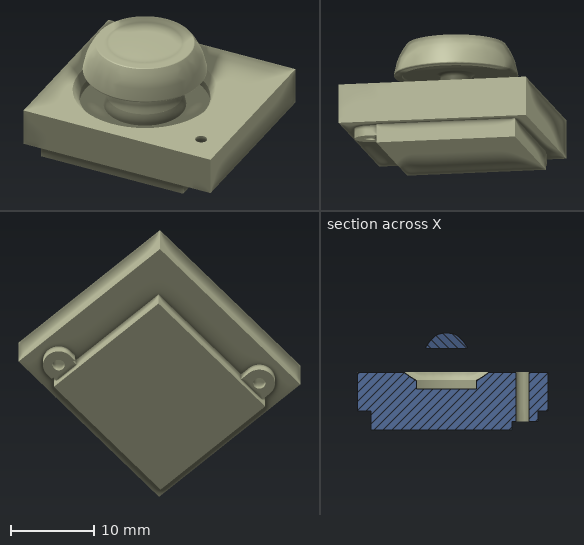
import cadquery as cq
import math

plate_length = 25.1
plate_width = 22.95
plate_thickness = 4.72
overall_height = 14.3

block_left = 1.53
block_front = 1.63
block_length = 19.08
block_width = 17.0
block_height = 2.25
block_right = block_left + block_length
block_back = block_front + block_width
plate_top = block_height + plate_thickness

hole_diameter = 1.45
back_hole_x = 3.95
back_hole_y = 19.85
right_hole_x = 22.01
right_hole_y = 3.7
lug_radius = 1.88
lug_height = 1.25
lug_bottom = block_height - lug_height
right_lug_straight = 0.83
bridge_inset = 0.25

axis_x = 10.97
axis_y = 10.72
pocket_mouth_diameter = 17.4
pocket_floor_diameter = 15.8
pocket_depth = 1.98
pocket_bevel_depth = 1.0
pocket_floor = plate_top - pocket_depth

ball_radius = 5.02
ball_center = 4.35
ball_split = 6.35

neck_radius = 3.7 / 2
cap_bottom = 9.76
cap_recess_depth = 0.25
cap_underside = cap_bottom + cap_recess_depth
cap_recess_radius = 6.5
cap_rim_radius = 7.5
cap_face = 13.7
cap_face_radius = 5.92
cap_sphere_radius = 7.55
crown_radius = 4.55
edge_fillet = 0.2
neck_fillet = 0.5


def ball_radius_at(height):
    """Radius of the ball's circular section at a height."""
    return math.sqrt(ball_radius**2 - (height - ball_center)**2)


def arc_middle(start, end, radius):
    """Middle point of an arc that bulges to the left of the line from start to end."""
    run = end[0] - start[0]
    rise = end[1] - start[1]
    chord = math.hypot(run, rise)
    bulge = radius - math.sqrt(radius**2 - (chord / 2)**2)
    middle_x = (start[0] + end[0]) / 2 - bulge * rise / chord
    middle_y = (start[1] + end[1]) / 2 + bulge * run / chord
    return (middle_x, middle_y)


def turn(profile):
    """Revolve a closed (radius, height) profile about the vertical axis of the knob."""
    solid = profile.close().revolve(360, (0, 0, 0), (0, 1, 0))
    return solid.translate((axis_x, axis_y, 0))


def box_between(left, right, front, back, bottom, top):
    """Box given by the positions of its six sides."""
    box = cq.Workplane("XY").box(right - left, back - front, top - bottom, centered=False)
    return box.translate((left, front, bottom))


def make_lug_disc(hole_x, hole_y):
    """Disc hanging from the plate around a screw hole."""
    return cq.Workplane("XY", origin=(hole_x, hole_y, lug_bottom)).circle(lug_radius).extrude(lug_height)


def make_lugs():
    """Back lug, and right lug with its bridge to the block."""
    back_lug = make_lug_disc(back_hole_x, back_hole_y).union(
        box_between(
            back_hole_x - lug_radius, back_hole_x + lug_radius,
            block_back, back_hole_y,
            lug_bottom, block_height,
        )
    )
    straight_left = right_hole_x - right_lug_straight
    straight_sides = box_between(
        straight_left, right_hole_x,
        right_hole_y - lug_radius, right_hole_y + lug_radius,
        lug_bottom, block_height,
    )
    bridge_half_width = lug_radius - bridge_inset
    bridge = box_between(
        block_right, straight_left,
        right_hole_y - bridge_half_width, right_hole_y + bridge_half_width,
        lug_bottom, block_height,
    )
    round_end = make_lug_disc(right_hole_x, right_hole_y).intersect(
        box_between(
            right_hole_x, right_hole_x + lug_radius,
            right_hole_y - lug_radius, right_hole_y + lug_radius,
            lug_bottom, block_height,
        )
    )
    return back_lug.union(round_end).union(straight_sides).union(bridge)


def make_pocket():
    """Volume of the bevelled round pocket."""
    mouth_radius = pocket_mouth_diameter / 2
    floor_radius = pocket_floor_diameter / 2
    return turn(
        cq.Workplane("XZ")
        .moveTo(0, pocket_floor)
        .lineTo(floor_radius, pocket_floor)
        .lineTo(floor_radius, plate_top - pocket_bevel_depth)
        .lineTo(mouth_radius, plate_top)
        .lineTo(0, plate_top)
    )


def make_ball_seat():
    """Lower zone of the ball, from inside the plate up to the split."""
    seat_bottom = ball_center
    start = (ball_radius_at(ball_split), ball_split)
    end = (ball_radius_at(seat_bottom), seat_bottom)
    return turn(
        cq.Workplane("XZ")
        .moveTo(0, ball_split)
        .lineTo(*start)
        .threePointArc(arc_middle(start, end, ball_radius), end)
        .lineTo(0, seat_bottom)
    )


def make_housing():
    """Plate with block, lugs, pocket, screw holes and the lower zone of the ball."""
    plate = box_between(0, plate_length, 0, plate_width, block_height, plate_top)
    block = box_between(block_left, block_right, block_front, block_back, 0, block_height)
    holes = (
        cq.Workplane("XY")
        .pushPoints([(back_hole_x, back_hole_y), (right_hole_x, right_hole_y)])
        .circle(hole_diameter / 2)
        .extrude(plate_top)
    )
    return plate.union(block).union(make_lugs()).cut(make_pocket()).union(make_ball_seat()).cut(holes)


def circle_at(solid, radius, height):
    """The circular edge of a turned solid nearest to a radius and height."""
    circles = [edge for edge in solid.edges().vals() if edge.geomType() == "CIRCLE"]
    return min(circles, key=lambda edge: math.dist((edge.radius(), edge.Center().z), (radius, height)))


def make_knob():
    """Upper zone of the ball, neck and domed cap as one turned body."""
    ball_edge = (ball_radius_at(ball_split), ball_split)
    neck_base = (neck_radius, ball_center + math.sqrt(ball_radius**2 - neck_radius**2))
    rim = (cap_rim_radius, cap_bottom)
    face_edge = (cap_face_radius, cap_face)
    crown_edge = (crown_radius, cap_face)
    crown_top = (0, overall_height)
    crown_rise = overall_height - cap_face
    crown_sphere_radius = (crown_radius**2 + crown_rise**2) / (2 * crown_rise)
    knob = (
        cq.Workplane("XZ")
        .moveTo(0, ball_split)
        .lineTo(*ball_edge)
        .threePointArc(arc_middle(neck_base, ball_edge, ball_radius), neck_base)
        .lineTo(neck_radius, cap_underside)
        .lineTo(cap_recess_radius, cap_underside)
        .lineTo(cap_recess_radius, cap_bottom)
        .lineTo(*rim)
        .threePointArc(arc_middle(face_edge, rim, cap_sphere_radius), face_edge)
        .lineTo(*crown_edge)
        .threePointArc(arc_middle(crown_top, crown_edge, crown_sphere_radius), crown_top)
    )
    knob = turn(knob)

    knob = knob.newObject([circle_at(knob, *rim), circle_at(knob, *face_edge)]).fillet(edge_fillet)
    return knob.newObject([circle_at(knob, neck_radius, cap_underside)]).fillet(neck_fillet)


housing = make_housing()
knob = make_knob()
result = cq.Compound.makeCompound([housing.val(), knob.val()])